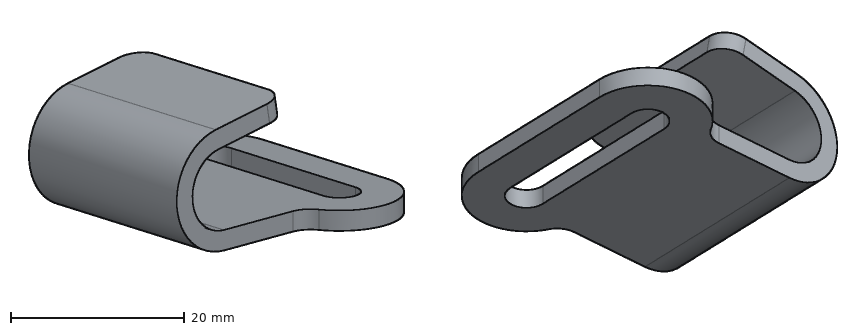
import cadquery as cq
import math

overall_width = 35.97
overall_length = 35.0
thickness = 2.48
eye_radius = 7.48
slot_width = 5.0
strip_width = 25.05
neck_fillet = 3.0
bend_inner_radius = 5.0
lip_angle = 10.0
lip_length = 11.1
lip_corner_radius = 3.0

bend_outer_radius = bend_inner_radius + thickness
bend_y = eye_radius - overall_length + bend_outer_radius
bend_z = bend_outer_radius
eye_center_x = overall_width / 2 - eye_radius
slot_length = 2 * eye_center_x + slot_width
lip_cos = math.cos(math.radians(lip_angle))
lip_sin = math.sin(math.radians(lip_angle))


def bend_end(radius):
    """Point (Y, Z) where the bend of this radius runs into the lip."""
    return (bend_y - radius * lip_sin, bend_z + radius * lip_cos)


def lip_end(radius):
    """Point (Y, Z) at the free end of the lip on the face of this radius."""
    y, z = bend_end(radius)
    return (y + lip_length * lip_cos, z + lip_length * lip_sin)


def bend_middle(radius):
    """Point (Y, Z) at the far side of the bend."""
    return (bend_y - radius, bend_z)


def make_strip():
    """Constant-thickness strip: flat base, bend and rising lip."""
    return (
        cq.Workplane("YZ")
        .moveTo(0, 0)
        .lineTo(bend_y, 0)
        .threePointArc(bend_middle(bend_outer_radius), bend_end(bend_outer_radius))
        .lineTo(*lip_end(bend_outer_radius))
        .lineTo(*lip_end(bend_inner_radius))
        .lineTo(*bend_end(bend_inner_radius))
        .threePointArc(bend_middle(bend_inner_radius), (bend_y, thickness))
        .lineTo(0, thickness)
        .close()
        .extrude(strip_width / 2, both=True)
    )


def round_lip_corners(strip):
    """Round the two free corners of the lip."""
    outer_y, outer_z = lip_end(bend_outer_radius)
    inner_y, inner_z = lip_end(bend_inner_radius)
    middle_y = (outer_y + inner_y) / 2
    middle_z = (outer_z + inner_z) / 2
    for side in (-1, 1):
        corner = (side * strip_width / 2, middle_y, middle_z)
        strip = strip.edges(cq.NearestToPointSelector(corner)).fillet(lip_corner_radius)
    return strip


def fillet_neck(body):
    """Blend the inside corners where the strip leaves the strap eye."""
    neck_x = strip_width / 2
    neck_y = -math.sqrt(eye_radius**2 - (neck_x - eye_center_x) ** 2)
    for side in (-1, 1):
        corner = (side * neck_x, neck_y, thickness / 2)
        body = body.edges(cq.NearestToPointSelector(corner)).fillet(neck_fillet)
    return body


strap_eye = cq.Workplane("XY").slot2D(overall_width, 2 * eye_radius).extrude(thickness)
strap_slot = cq.Workplane("XY").slot2D(slot_length, slot_width).extrude(thickness)

hook = round_lip_corners(make_strip())
result = fillet_neck(strap_eye.union(hook)).cut(strap_slot)